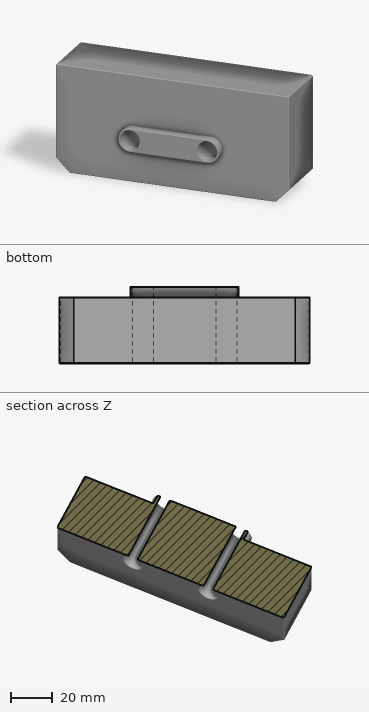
import cadquery as cq

length = 120.0
height = 55.0
total_depth = 37.0
boss_projection = 5.0
block_depth = total_depth - boss_projection
corner_cut = 7.0
edge_break = 0.5
front_edge_break = 0.4

hole_spacing = 39.8
boss_width = 12.1
boss_length = hole_spacing + boss_width
hole_diameter = 10.1
boss_height = 23.0
boss_edge_break = 0.4
hole_edge_break = 0.2


def make_block():
    """Rectangular block with cut lower corners and broken edges, front face at Y = 0."""
    block = cq.Workplane("XY").box(length, block_depth, height, centered=(True, False, False))
    block = block.edges("<Z and |Y").chamfer(corner_cut)
    block = block.faces(">Y or >Z").edges("not <Y").chamfer(edge_break)
    return block.faces("<Y").edges().chamfer(front_edge_break)


def front_plane():
    """Sketch plane on the front face, centred between the holes, facing -Y."""
    return cq.Workplane("XZ", origin=(0, 0, boss_height))


def make_boss():
    boss = front_plane().slot2D(boss_length, boss_width).extrude(boss_projection)
    return boss.faces("<Y").edges().chamfer(boss_edge_break)


def make_holes():
    """Through-hole cutters, each with a cone that bevels the rim on the boss face."""
    half_spacing = hole_spacing / 2
    hole_radius = hole_diameter / 2
    centres = [(-half_spacing, 0), (half_spacing, 0)]
    holes = front_plane().pushPoints(centres).circle(hole_radius).extrude(total_depth, both=True)
    rims = (
        front_plane()
        .workplane(offset=boss_projection)
        .pushPoints(centres)
        .circle(hole_radius + hole_edge_break)
        .extrude(-hole_edge_break, taper=45)
    )
    return holes.union(rims)


result = make_block().union(make_boss()).cut(make_holes())